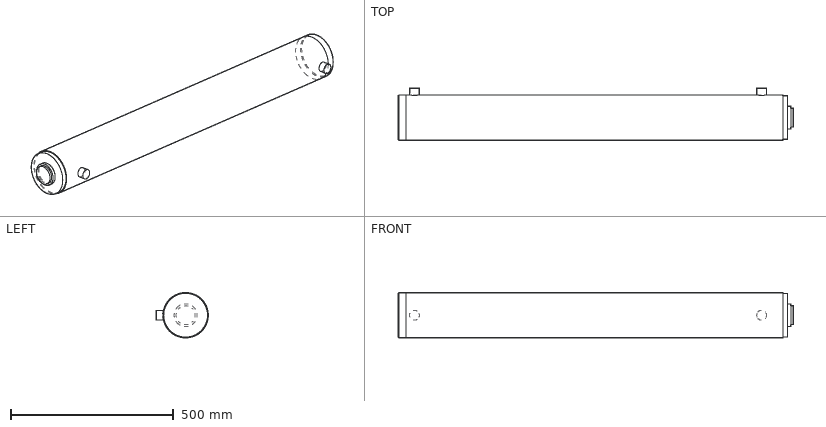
import cadquery as cq

total_length = 1215.0
shell_diameter = 140.0
left_cap_length = 24.0
left_cap_chamfer = 2.0
shell_end_x = 1183.0
right_cap_end_x = 1198.0
right_cap_diameter = 135.0
flange_end_x = 1208.0
flange_diameter = 70.0
plug_diameter = 58.0

total_width = 160.0
port_diameter = 30.0
port_positions_x = (50.0, 1118.0)

port_end_y = total_width - shell_diameter / 2


def disc(diameter, start_x, end_x):
    """Solid cylinder on the X axis between two stations."""
    return cq.Workplane("YZ", origin=(start_x, 0, 0)).circle(diameter / 2).extrude(end_x - start_x)


def make_port(center_x, vessel_body):
    """Round stub that sits on the curved +Y side of the vessel body."""
    rod = cq.Workplane("XZ", origin=(center_x, 0, 0)).circle(port_diameter / 2).extrude(-port_end_y)
    return rod.cut(vessel_body)


left_cap = disc(shell_diameter, 0, left_cap_length).faces("<X").chamfer(left_cap_chamfer)
shell = disc(shell_diameter, left_cap_length, shell_end_x)
right_cap = disc(right_cap_diameter, shell_end_x, right_cap_end_x)
flange = disc(flange_diameter, right_cap_end_x, flange_end_x)
plug = disc(plug_diameter, flange_end_x, total_length)

ports = [make_port(center_x, shell) for center_x in port_positions_x]

result = cq.Compound.makeCompound([
    left_cap.val(),
    shell.val(),
    right_cap.val(),
    flange.val(),
    plug.val(),
    *[port.val() for port in ports],
])